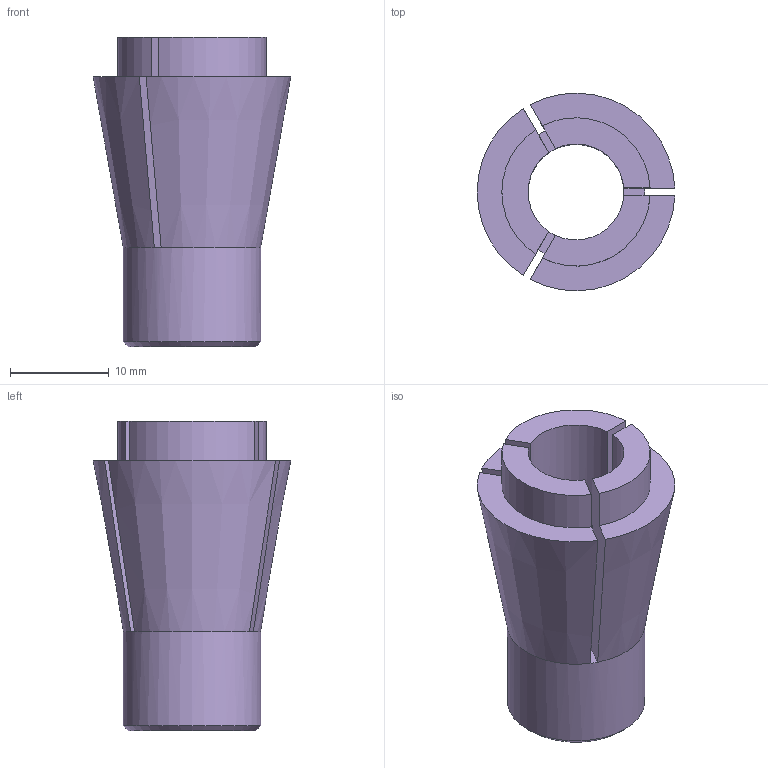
import cadquery as cq

shank_diameter = 13.9
shank_length = 10.0
shank_chamfer = 0.5
cone_large_diameter = 20.0
cone_length = 17.3
collar_diameter = 15.0
collar_length = 4.0
bore_diameter = 9.7
slot_width = 0.8
slot_count = 3

cone_start = shank_length
cone_end = cone_start + cone_length
total_height = cone_end + collar_length


def collet_blank():
    """Revolved shank, flaring cone and collar, with the bore open at both ends."""
    shank_radius = shank_diameter / 2
    cone_radius = cone_large_diameter / 2
    collar_radius = collar_diameter / 2
    bore_radius = bore_diameter / 2
    profile = (
        cq.Workplane("XZ")
        .moveTo(bore_radius, 0)
        .lineTo(shank_radius - shank_chamfer, 0)
        .lineTo(shank_radius, shank_chamfer)
        .lineTo(shank_radius, cone_start)
        .lineTo(cone_radius, cone_end)
        .lineTo(collar_radius, cone_end)
        .lineTo(collar_radius, total_height)
        .lineTo(bore_radius, total_height)
        .close()
    )
    return profile.revolve(360, (0, 0, 0), (0, 1, 0))


def radial_slot(angle):
    """Cutter for one slot, running outward from the axis and down to the top of the shank."""
    slot_reach = cone_large_diameter
    return (
        cq.Workplane("XY")
        .workplane(offset=cone_start)
        .rect(slot_reach, slot_width)
        .extrude(total_height - cone_start)
        .translate((slot_reach / 2, 0, 0))
        .rotate((0, 0, 0), (0, 0, 1), angle)
    )


result = collet_blank()
for index in range(slot_count):
    result = result.cut(radial_slot(index * 360 / slot_count))